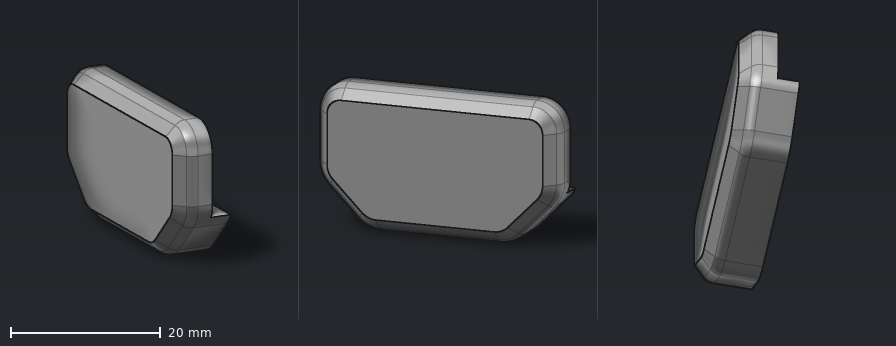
import cadquery as cq

width = 35.0
height = 20.0
plate_depth = 5.0
ledge_depth = 3.0
ledge_height = 7.0

corner_cut = 7.0
upper_radius = 4.0
lower_radius = 4.75

bevel = 2.0
blend_radius = 2.0

half_width = width / 2
half_height = height / 2


def shield_prism(depth):
    """Outline with cut lower corners, extruded toward +Y from Y = 0."""
    outline = [
        (-half_width, half_height),
        (half_width, half_height),
        (half_width, -half_height + corner_cut),
        (half_width - corner_cut, -half_height),
        (-half_width + corner_cut, -half_height),
        (-half_width, -half_height + corner_cut),
    ]
    prism = cq.Workplane("XZ").polyline(outline).close().extrude(-depth)
    prism = prism.edges("|Y").edges(">Z").fillet(upper_radius)
    lower_zone = cq.selectors.BoxSelector(
        (-width, -depth, -height), (width, 2 * depth, half_height - 2 * upper_radius)
    )
    return prism.edges("|Y").edges(lower_zone).fillet(lower_radius)


def bevel_rim(body):
    """Bevel the front rim and round the ridge between bevel and side walls."""
    body = body.faces("<Y").chamfer(bevel)
    ridge_margin = bevel / 4
    ridge_zone = cq.selectors.BoxSelector(
        (-width, bevel - ridge_margin, -height), (width, bevel + ridge_margin, height)
    )
    return body.edges(ridge_zone).fillet(blend_radius)


def rear_cutter():
    """Space behind the plate and above the ledge."""
    cutter_height = height - ledge_height
    cutter = cq.Workplane("XY").box(width, ledge_depth, cutter_height, centered=(True, False, False))
    return cutter.translate((0, plate_depth, -half_height + ledge_height))


result = bevel_rim(shield_prism(plate_depth + ledge_depth)).cut(rear_cutter())